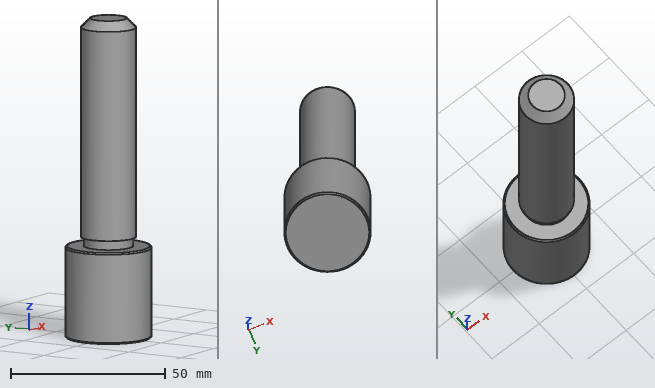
import cadquery as cq

total_length = 105.0
head_diameter = 28.0
head_length = 30.0
neck_diameter = 16.0
neck_length = 3.0
shank_diameter = 18.0

tip_chamfer = 3.0
head_chamfer = 0.5

shank_start = head_length + neck_length
shank_length = total_length - shank_start


def cylinder(diameter, length, base_height):
    """Solid cylinder on the Z axis, starting at base_height."""
    return cq.Workplane("XY").workplane(offset=base_height).circle(diameter / 2).extrude(length)


head = cylinder(head_diameter, head_length, 0).edges().chamfer(head_chamfer)

neck = cylinder(neck_diameter, neck_length, head_length)

shank = cylinder(shank_diameter, shank_length, shank_start).faces(">Z").chamfer(tip_chamfer)

result = head.union(neck).union(shank)